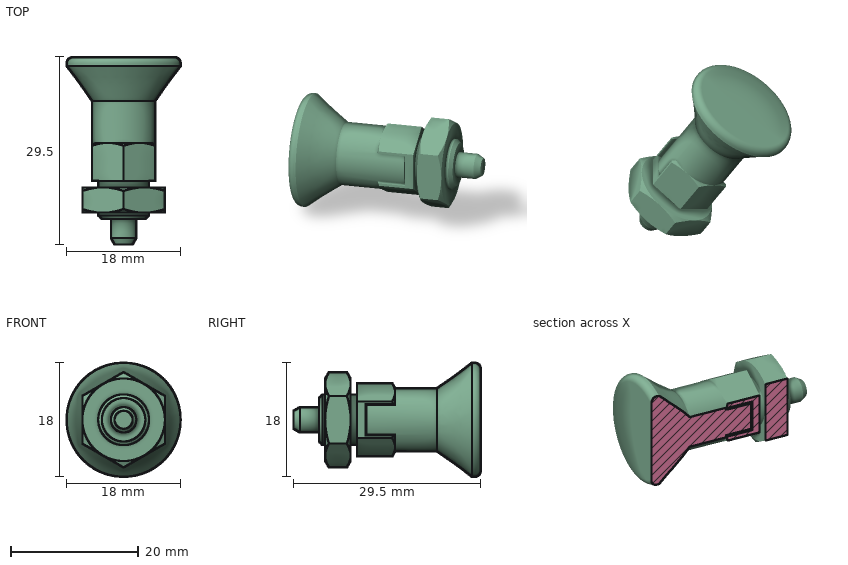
import cadquery as cq
import math

TIP_Y = 0.0
THREAD_START_Y = 4.0
NUT_START_Y = 5.0
NUT_END_Y = 9.0
BODY_START_Y = 10.0
BODY_END_Y = 16.0
FLARE_START_Y = 22.6
OVERALL_LENGTH = 29.5

PIN_DIAMETER = 4.0
PIN_CHAMFER_LENGTH = 1.0
PIN_CHAMFER_ANGLE = math.radians(30)

THREAD_DIAMETER = 8.0
THREAD_CHAMFER = 0.58

NUT_ACROSS_FLATS = 13.0
BODY_ACROSS_FLATS = 10.0
HEX_CHAMFER_ANGLE = math.radians(30)

NECK_DIAMETER = 10.0
KNOB_DIAMETER = 18.0
KNOB_RIM_RADIUS = 1.0
KNOB_BAND_WIDTH = 0.4
FLARE_SAG = 0.075

SLOT_WIDTH = 5.0
SLOT_START_Y = 11.35
SLOT_FLOOR_X = 4.0
TAB_CLEARANCE = 0.18


def revolve_about_y(profile):
    """Turn a closed XY profile around the Y axis."""
    return profile.revolve(360, (0, 0, 0), (0, 1, 0))


def disc(diameter, y_start, y_end):
    """Plain cylinder along Y."""
    return cq.Workplane("XZ", origin=(0, y_end, 0)).circle(diameter / 2).extrude(y_end - y_start)


def make_pin_and_shank():
    pin_radius = PIN_DIAMETER / 2
    tip_radius = pin_radius - PIN_CHAMFER_LENGTH * math.tan(PIN_CHAMFER_ANGLE)
    thread_radius = THREAD_DIAMETER / 2
    return revolve_about_y(
        cq.Workplane("XY")
        .moveTo(0, TIP_Y)
        .lineTo(tip_radius, TIP_Y)
        .lineTo(pin_radius, TIP_Y + PIN_CHAMFER_LENGTH)
        .lineTo(pin_radius, THREAD_START_Y)
        .lineTo(thread_radius - THREAD_CHAMFER, THREAD_START_Y)
        .lineTo(thread_radius, THREAD_START_Y + THREAD_CHAMFER)
        .lineTo(thread_radius, BODY_START_Y)
        .lineTo(0, BODY_START_Y)
        .close()
    )


def make_hexagon(across_flats, y_start, y_end):
    """Hexagonal prism along Y with flats facing +X and -X."""
    across_corners = across_flats / math.cos(math.pi / 6)
    return (
        cq.Workplane("XZ", origin=(0, y_end, 0))
        .transformed(rotate=(0, 0, 90))
        .polygon(6, across_corners)
        .extrude(y_end - y_start)
    )


def turn_off_corners(hexagon, across_flats, y_end, outward):
    """Chamfer the hexagon corners at one end; outward is the Y direction pointing out of that end."""
    flat_radius = across_flats / 2
    corner_radius = flat_radius / math.cos(math.pi / 6)
    cutter_radius = 2 * corner_radius - flat_radius
    cutter_drop = (cutter_radius - flat_radius) * math.tan(HEX_CHAMFER_ANGLE)
    cutter = revolve_about_y(
        cq.Workplane("XY")
        .moveTo(flat_radius, y_end)
        .lineTo(cutter_radius, y_end)
        .lineTo(cutter_radius, y_end - outward * cutter_drop)
        .close()
    )
    return hexagon.cut(cutter)


def make_knob():
    """Neck, hollow flare and rounded rim."""
    neck_radius = NECK_DIAMETER / 2
    knob_radius = KNOB_DIAMETER / 2
    round_start_y = OVERALL_LENGTH - KNOB_RIM_RADIUS
    band_start_y = round_start_y - KNOB_BAND_WIDTH

    flare_width = knob_radius - neck_radius
    flare_height = band_start_y - FLARE_START_Y
    chord = math.hypot(flare_width, flare_height)
    flare_middle = (
        (neck_radius + knob_radius) / 2 - FLARE_SAG * flare_height / chord,
        (FLARE_START_Y + band_start_y) / 2 + FLARE_SAG * flare_width / chord,
    )
    rim_offset = KNOB_RIM_RADIUS * math.sin(math.pi / 4)
    rim_middle = (knob_radius - KNOB_RIM_RADIUS + rim_offset, round_start_y + rim_offset)

    return revolve_about_y(
        cq.Workplane("XY")
        .moveTo(0, BODY_END_Y)
        .lineTo(neck_radius, BODY_END_Y)
        .lineTo(neck_radius, FLARE_START_Y)
        .threePointArc(flare_middle, (knob_radius, band_start_y))
        .lineTo(knob_radius, round_start_y)
        .threePointArc(rim_middle, (knob_radius - KNOB_RIM_RADIUS, OVERALL_LENGTH))
        .lineTo(0, OVERALL_LENGTH)
        .close()
    )


def make_side_block(side, width, y_start):
    """Block outside the slot floor on one X side, reaching to the knob end of the body."""
    depth = BODY_ACROSS_FLATS / 2 - SLOT_FLOOR_X
    length = BODY_END_Y - y_start
    center = (side * (SLOT_FLOOR_X + depth / 2), y_start + length / 2, 0)
    return cq.Workplane("XY").box(depth, length, width).translate(center)


def make_slotted_body():
    body = make_hexagon(BODY_ACROSS_FLATS, BODY_START_Y, BODY_END_Y)
    body = turn_off_corners(body, BODY_ACROSS_FLATS, BODY_END_Y, 1)
    for side in (-1, 1):
        body = body.cut(make_side_block(side, SLOT_WIDTH, SLOT_START_Y))
    return body


def make_tabbed_knob():
    tab_start_y = SLOT_START_Y + TAB_CLEARANCE
    tab_width = SLOT_WIDTH - 2 * TAB_CLEARANCE
    neck = disc(NECK_DIAMETER, tab_start_y, BODY_END_Y)
    knob = make_knob()
    for side in (-1, 1):
        knob = knob.union(neck.intersect(make_side_block(side, tab_width, tab_start_y)))
    return knob.clean()


def make_nut():
    nut = make_hexagon(NUT_ACROSS_FLATS, NUT_START_Y, NUT_END_Y)
    nut = turn_off_corners(nut, NUT_ACROSS_FLATS, NUT_START_Y, -1)
    return turn_off_corners(nut, NUT_ACROSS_FLATS, NUT_END_Y, 1)


result = make_pin_and_shank().union(make_nut()).union(make_slotted_body()).union(make_tabbed_knob())